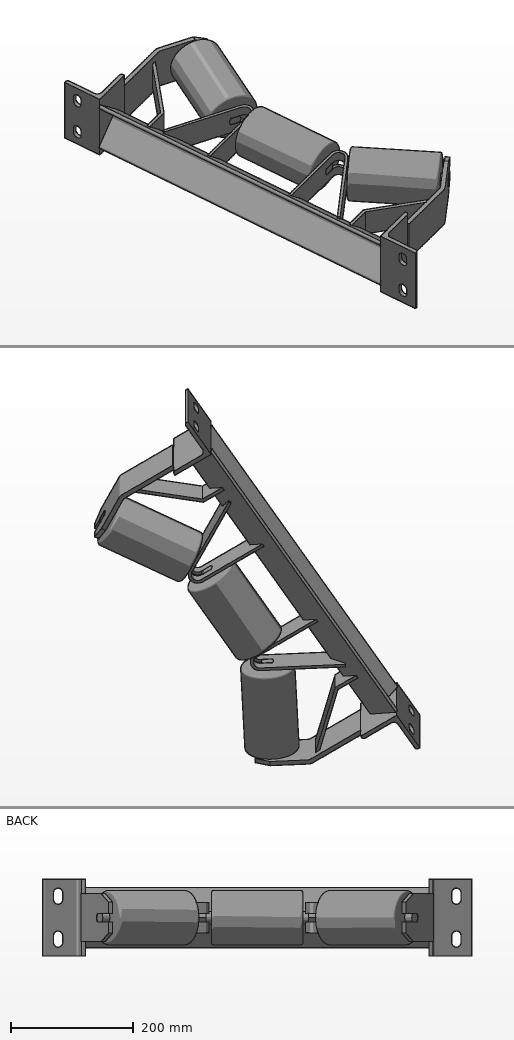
import cadquery as cq
import math


overall_length = 700.0
foot_leg = 70.0
foot_thickness = 7.0
foot_height = 125.0
foot_toe_radius = 4.0
foot_root_radius = 8.5
foot_face_x = overall_length / 2 - foot_leg
bolt_slot_width = 15.0
bolt_slot_length = 26.0
bolt_slot_spacing = 70.0
bolt_slot_inset = 25.0

beam_leg = 70.0
beam_thickness = 7.0
beam_toe_radius = 3.5
beam_root_radius = 10.0
beam_apex_y = 51.0

roller_radius = 89.0 / 2
roller_length = 150.0
roller_edge_radius = 4.0
trough_angle = 30.0
middle_roller_y = 134.5
side_roller_x = 180.5
side_roller_y = 182.0
shaft_diameter = 20.0
shaft_flat_width = 14.0
bracket_gap = 3.5
plate_gap = 5.0
shaft_overhang = 1.0

strip_half_width = 50.0 / 2
strip_end_y = 26.5
tilted_leg_end_y = 30.0
bracket_thickness = 5.0
arch_radius = 15.5
arch_top_y = 161.0
brace_thickness = 5.5
brace_wall_y = 157.5
brace_knee_x = 199.0
brace_knee_y = 67.0

plate_thickness = 8.0
plate_half_width = 39.0
plate_bend_radius = 2 * plate_thickness
plate_tip_reach = 28.0
plate_chamfer_length = 24.5
plate_chamfer_width = 14.0

tilt = math.radians(trough_angle)
axis_dir = (-math.cos(tilt), math.sin(tilt))
rise_dir = (math.sin(tilt), math.cos(tilt))
bracket_face = roller_length / 2 + bracket_gap
bracket_back = bracket_face + bracket_thickness
plate_face = roller_length / 2 + plate_gap
plate_back = plate_face + plate_thickness


def side_point(along, rise):
    """Point in the XY plane, measured from the left roller's centre along its shaft and square to it."""
    return (
        -side_roller_x + along * axis_dir[0] + rise * rise_dir[0],
        side_roller_y + along * axis_dir[1] + rise * rise_dir[1],
    )


def extruded(points, half_width):
    """Prism on a closed XY outline, centred on Z = 0."""
    return cq.Workplane("XY").polyline(points).close().extrude(half_width, both=True)


def tilted_left(body):
    """Move a body built along X about the origin to the left roller's place; its -X end points outward."""
    return body.rotate((0, 0, 0), (0, 0, 1), -trough_angle).translate((-side_roller_x, side_roller_y, 0))


def angle_section(workplane, leg, thickness, toe_radius, root_radius):
    """Outline of a rolled angle, heel at the origin, legs along the two positive axes."""
    mid = 1 - math.sqrt(0.5)
    toe_mid = toe_radius * mid
    root_end = thickness + root_radius
    root_mid = thickness + root_radius * mid
    return (
        workplane.moveTo(0, 0)
        .lineTo(leg, 0)
        .lineTo(leg, thickness - toe_radius)
        .threePointArc((leg - toe_mid, thickness - toe_mid), (leg - toe_radius, thickness))
        .lineTo(root_end, thickness)
        .threePointArc((root_mid, root_mid), (thickness, root_end))
        .lineTo(thickness, leg - toe_radius)
        .threePointArc((thickness - toe_mid, leg - toe_mid), (thickness - toe_radius, leg))
        .lineTo(0, leg)
        .close()
    )


def make_left_foot():
    section = angle_section(cq.Workplane("XY"), foot_leg, foot_thickness, foot_toe_radius, foot_root_radius)
    foot = section.extrude(foot_height / 2, both=True).mirror("YZ").translate((-foot_face_x, 0, 0))
    slot_x = -overall_length / 2 + bolt_slot_inset
    slots = (
        cq.Workplane("XZ", origin=(slot_x, 0, 0))
        .rarray(7, bolt_slot_spacing, 1, 2)
        .slot2D(bolt_slot_length, bolt_slot_width, 90)
        .extrude(-foot_leg / 2)
    )
    return foot.cut(slots)


def make_roller():
    """Roller along X about the origin, bored for its shaft."""
    left_end = cq.Workplane("YZ", origin=(-roller_length / 2, 0, 0))
    roller = left_end.circle(roller_radius).extrude(roller_length).edges("%CIRCLE").fillet(roller_edge_radius)
    bore = left_end.circle(shaft_diameter / 2).extrude(roller_length)
    return roller.cut(bore)


def shaft_rod(start_x, end_x):
    return cq.Workplane("YZ", origin=(start_x, 0, 0)).circle(shaft_diameter / 2).extrude(end_x - start_x)


def make_shaft(left_face, left_end, right_face, right_end):
    """Shaft along X, full round between the bearing faces and flattened from there to its ends."""
    length = left_end + right_end
    journal = shaft_rod(-left_face, right_face)
    flats = cq.Workplane("XY").box(length, shaft_diameter, shaft_flat_width)
    flats = flats.translate(((right_end - left_end) / 2, 0, 0))
    return journal.union(shaft_rod(-left_end, right_end).intersect(flats))


def make_beam():
    roof_turn = 135
    section = angle_section(cq.Workplane("YZ"), beam_leg, beam_thickness, beam_toe_radius, beam_root_radius)
    beam = section.extrude(foot_face_x, both=True)
    return beam.rotate((0, 0, 0), (1, 0, 0), roof_turn).translate((0, beam_apex_y, 0))


def space_under_beam_faces():
    """Prism below the beam's two outer faces, which notches the strips that stand on the beam."""
    foot_y = beam_apex_y - beam_leg
    outline = [(beam_apex_y, 0), (foot_y, beam_leg), (foot_y, -beam_leg)]
    return cq.Workplane("YZ").polyline(outline).close().extrude(foot_face_x, both=True)


def make_left_bracket():
    """Strip bent over an arch: one leg upright beside the middle roller, one square to the left shaft."""
    arch_x = -bracket_face - arch_radius
    arch_y = arch_top_y - arch_radius
    inner_radius = arch_radius - bracket_thickness
    tilted_angle = math.pi - tilt
    arch_mid_angle = tilted_angle / 2

    def arch_point(radius, angle):
        return (arch_x + radius * math.cos(angle), arch_y + radius * math.sin(angle))

    outer_tangent = arch_point(arch_radius, tilted_angle)
    inner_tangent = arch_point(inner_radius, tilted_angle)
    leg_length = (inner_tangent[1] - tilted_leg_end_y) / rise_dir[1]

    def leg_end(tangent):
        return (tangent[0] - leg_length * rise_dir[0], tangent[1] - leg_length * rise_dir[1])

    strip = (
        cq.Workplane("XY")
        .moveTo(-bracket_face, strip_end_y)
        .lineTo(-bracket_face, arch_y)
        .threePointArc(arch_point(arch_radius, arch_mid_angle), outer_tangent)
        .lineTo(*leg_end(outer_tangent))
        .lineTo(*leg_end(inner_tangent))
        .lineTo(*inner_tangent)
        .threePointArc(arch_point(inner_radius, arch_mid_angle), arch_point(inner_radius, 0))
        .lineTo(-bracket_back, strip_end_y)
        .close()
        .extrude(strip_half_width, both=True)
    )
    slot_top_y = arch_top_y + arch_radius
    slot = extruded(
        [
            (-roller_length / 2, middle_roller_y),
            (-bracket_back, middle_roller_y),
            side_point(-bracket_back, 0),
            side_point(-roller_length / 2, 0),
            side_point(-roller_length / 2, arch_radius * 2),
            (-roller_length / 2, slot_top_y),
        ],
        shaft_flat_width / 2,
    )
    return strip.cut(slot)


def make_left_brace():
    """Strip from the side plate down to a knee and on to the beam."""
    slope = math.atan2(brace_wall_y - brace_knee_y, foot_face_x - brace_knee_x)
    drop = brace_thickness / math.cos(slope)
    inner_knee_x = brace_knee_x + brace_thickness
    inner_knee_y = brace_knee_y + brace_thickness * math.tan(slope) - drop
    return extruded(
        [
            (-foot_face_x, brace_wall_y),
            (-brace_knee_x, brace_knee_y),
            (-brace_knee_x, strip_end_y),
            (-inner_knee_x, strip_end_y),
            (-inner_knee_x, inner_knee_y),
            (-foot_face_x, brace_wall_y - drop),
        ],
        strip_half_width,
    )


def bearing_point_at_x(along, x):
    """Where the plane square to the left shaft, that far along it, crosses the given X."""
    rise = (x - side_point(along, 0)[0]) / rise_dir[0]
    return side_point(along, rise)


def nearest_edge(point):
    """Selector for the edge along Z through a point of the XY plane."""
    return cq.selectors.NearestToPointSelector((*point, 0))


def make_left_plate():
    """Plate standing on the foot, bent square to the left shaft, with a chamfered slotted tip."""
    outer_x = -foot_face_x - plate_thickness
    inner_bend = bearing_point_at_x(plate_face, -foot_face_x)
    outer_bend = bearing_point_at_x(plate_back, outer_x)
    plate = extruded(
        [
            (-foot_face_x, foot_leg),
            inner_bend,
            side_point(plate_face, plate_tip_reach),
            side_point(plate_back, plate_tip_reach),
            outer_bend,
            (outer_x, foot_leg),
        ],
        plate_half_width,
    )
    plate = plate.edges(nearest_edge(outer_bend)).fillet(plate_bend_radius)
    plate = plate.edges(nearest_edge(inner_bend)).fillet(plate_bend_radius - plate_thickness)
    chamfer_start = plate_tip_reach - plate_chamfer_length
    tip_half_width = plate_half_width - plate_chamfer_width
    silhouette = (
        cq.Workplane("YZ")
        .polyline(
            [
                (-overall_length, -plate_half_width),
                (chamfer_start, -plate_half_width),
                (plate_tip_reach, -tip_half_width),
                (plate_tip_reach, tip_half_width),
                (chamfer_start, plate_half_width),
                (-overall_length, plate_half_width),
            ]
        )
        .close()
        .extrude(-overall_length)
    )
    plate = plate.intersect(tilted_left(silhouette))
    slot = extruded(
        [
            side_point(roller_length / 2, 0),
            side_point(plate_back + plate_thickness, 0),
            side_point(plate_back + plate_thickness, plate_half_width),
            side_point(roller_length / 2, plate_half_width),
        ],
        shaft_flat_width / 2,
    )
    return plate.cut(slot)


roller = make_roller()
middle_roller = roller.translate((0, middle_roller_y, 0))
left_roller = tilted_left(roller)
rollers = [left_roller, middle_roller, left_roller.mirror("YZ")]

middle_shaft = make_shaft(bracket_face, bracket_back, bracket_face, bracket_back)
middle_shaft = middle_shaft.translate((0, middle_roller_y, 0))
left_shaft = tilted_left(make_shaft(plate_face, plate_back + shaft_overhang, bracket_face, bracket_back))
shafts = [left_shaft, middle_shaft, left_shaft.mirror("YZ")]

left_foot = make_left_foot()
feet = [left_foot, left_foot.mirror("YZ")]

left_strips = make_left_bracket().union(make_left_brace()).cut(space_under_beam_faces())
left_frame = left_strips.union(make_left_plate())
frame = make_beam().union(left_frame).union(left_frame.mirror("YZ"))
for shaft in shafts:
    frame = frame.cut(shaft)

bodies = [frame, *feet, *rollers, *shafts]
result = cq.Compound.makeCompound([body.val() for body in bodies])